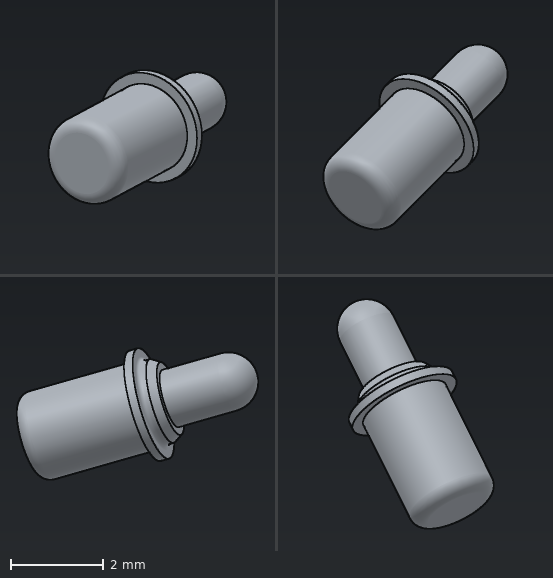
import cadquery as cq

total_length = 5.3
barrel_diameter = 2.0
barrel_edge_radius = 0.3
flange_diameter = 2.5
flange_thickness = 0.2
plunger_diameter = 1.3
collar_diameter = 1.9
collar_top_diameter = 1.65
barrel_length = 2.7
collar_length = 0.4
collar_chamfer_length = 0.2
collar_fillet_radius = 0.1

barrel_radius = barrel_diameter / 2
flange_radius = flange_diameter / 2
plunger_radius = plunger_diameter / 2
collar_radius = collar_diameter / 2
collar_top_radius = collar_top_diameter / 2

flange_start = barrel_length
flange_end = flange_start + flange_thickness
collar_end = flange_end + collar_length
chamfer_start = collar_end - collar_chamfer_length
dome_start = total_length - plunger_radius

profile = (
    cq.Workplane("XY")
    .moveTo(0, 0)
    .lineTo(barrel_radius - barrel_edge_radius, 0)
    .radiusArc((barrel_radius, barrel_edge_radius), -barrel_edge_radius)
    .lineTo(barrel_radius, flange_start)
    .lineTo(flange_radius, flange_start)
    .lineTo(flange_radius, flange_end)
    .lineTo(collar_radius + collar_fillet_radius, flange_end)
    .radiusArc((collar_radius, flange_end + collar_fillet_radius), collar_fillet_radius)
    .lineTo(collar_radius, chamfer_start)
    .lineTo(collar_top_radius, collar_end)
    .lineTo(plunger_radius, collar_end)
    .lineTo(plunger_radius, dome_start)
    .radiusArc((0, total_length), -plunger_radius)
    .close()
)

result = profile.revolve(360, (0, 0, 0), (0, 1, 0))